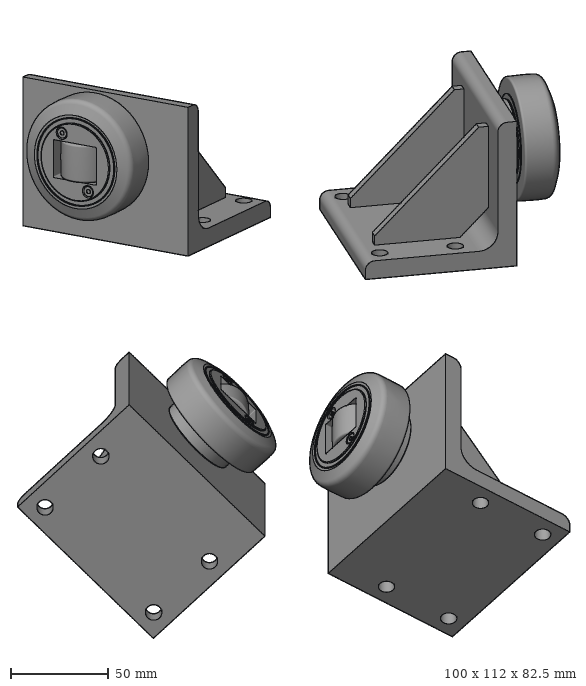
import cadquery as cq

overall_depth = 112.0

bracket_length = 100.0
leg = 80.0
leg_thickness = 10.0
root_radius = 10.0
toe_radius = 5.0

hole_diameter = 8.4
hole_half_spacing = 40.0
hole_rows = (30.0, 70.0)

rib_thickness = 5.0
rib_center_offset = 26.5
rib_reach = 70.0
rib_top_depth = 15.0
rib_root_clearance = 25.0

axis_height = 50.0
stem_diameter = 42.0
stem_end = 8.0
stem_chamfer = 0.5
back_seal_start = 8.5
seal_diameter = 47
tyre_back = 9.0
tyre_edge_radius = 32.3
tyre_crown_radius = 32.5
crown_start = 10.1
crown_end = 24.0
shoulder_radius = 30.2
shoulder_distance = 26.8
face_radius = 25.0
face_distance = 28.9
seal_groove_width = 0.5
seal_groove_depth = 0.5
cap_diameter = 41.5
cap_face = 29.7
cap_chamfer = 0.5

window_width = 26.0
window_height = 20.4
window_corner_radius = 0.6
side_roller_crown_radius = 12.9
side_roller_end_radius = 12.7
side_roller_width = 20.0
side_roller_fillet = 1.0
side_roller_distance = overall_depth - leg - side_roller_crown_radius

screw_x = 8.0
screw_z = 14.5
screw_rim_diameter = 6.6
screw_recess_diameter = 5.4
screw_recess_depth = 0.3
socket_diameter = 2.2
socket_depth = 0.3


def front_plane(distance):
    """Plane facing -Y, centered on the roller axis, at a distance outward from the mounting face."""
    return cq.Workplane("XZ", origin=(0, -distance, axis_height))


def make_angle():
    inner_toe = leg - toe_radius
    angle = (
        cq.Workplane("YZ")
        .lineTo(leg, 0)
        .lineTo(leg, leg_thickness - toe_radius)
        .radiusArc((inner_toe, leg_thickness), -toe_radius)
        .lineTo(leg_thickness + root_radius, leg_thickness)
        .radiusArc((leg_thickness, leg_thickness + root_radius), root_radius)
        .lineTo(leg_thickness, inner_toe)
        .radiusArc((leg_thickness - toe_radius, leg), -toe_radius)
        .lineTo(0, leg)
        .close()
        .extrude(bracket_length / 2, both=True)
    )
    hole_points = [(x, y) for x in (-hole_half_spacing, hole_half_spacing) for y in hole_rows]
    holes = cq.Workplane("XY").pushPoints(hole_points).circle(hole_diameter / 2).extrude(leg_thickness)
    return angle.cut(holes)


def make_rib(center_x):
    """Triangular gusset with blunt tips and a 45 degree cut that clears the bracket root."""
    return (
        cq.Workplane("YZ", origin=(center_x, 0, 0))
        .moveTo(leg_thickness, rib_root_clearance)
        .lineTo(leg_thickness, rib_reach)
        .lineTo(rib_top_depth, rib_reach)
        .lineTo(rib_reach, rib_top_depth)
        .lineTo(rib_reach, leg_thickness)
        .lineTo(rib_root_clearance, leg_thickness)
        .close()
        .extrude(rib_thickness / 2, both=True)
    )


def make_turned_body():
    """Stem, tyre and cap as one half profile: X is the radius, negative Y the distance outward."""
    stem_radius = stem_diameter / 2
    neck_radius = stem_radius - stem_chamfer
    seal_radius = seal_diameter / 2
    groove_inner_radius = seal_radius - seal_groove_width
    groove_floor = face_distance - seal_groove_depth
    cap_radius = cap_diameter / 2
    crown_middle = (crown_start + crown_end) / 2
    back_fillet = crown_start - tyre_back
    profile = (
        cq.Workplane("XY")
        .lineTo(neck_radius, 0)
        .lineTo(stem_radius, -stem_chamfer)
        .lineTo(stem_radius, -(stem_end - stem_chamfer))
        .lineTo(neck_radius, -stem_end)
        .lineTo(neck_radius, -back_seal_start)
        .lineTo(seal_radius, -back_seal_start)
        .lineTo(seal_radius, -tyre_back)
        .lineTo(tyre_edge_radius - back_fillet, -tyre_back)
        .radiusArc((tyre_edge_radius, -crown_start), back_fillet)
        .threePointArc((tyre_crown_radius, -crown_middle), (tyre_edge_radius, -crown_end))
        .tangentArcPoint((shoulder_radius, -shoulder_distance), relative=False)
        .lineTo(face_radius, -face_distance)
        .lineTo(seal_radius, -face_distance)
        .lineTo(seal_radius, -groove_floor)
        .lineTo(groove_inner_radius, -groove_floor)
        .lineTo(groove_inner_radius, -face_distance)
        .lineTo(cap_radius, -face_distance)
        .lineTo(cap_radius, -(cap_face - cap_chamfer))
        .lineTo(cap_radius - cap_chamfer, -cap_face)
        .lineTo(0, -cap_face)
        .close()
    )
    body = profile.revolve(360, (0, 0, 0), (0, 1, 0))
    return body.translate((0, 0, axis_height))


def make_window():
    """Pocket whose floor lies at the axis of the side roller."""
    depth = cap_face - side_roller_distance
    block = front_plane(side_roller_distance).rect(window_width, window_height).extrude(depth)
    return block.edges("|Y").fillet(window_corner_radius)


def make_side_roller():
    """Slightly crowned roller turning about an axis along Z."""
    half_width = side_roller_width / 2
    return (
        cq.Workplane("XZ", origin=(0, -side_roller_distance, axis_height))
        .moveTo(0, -half_width)
        .lineTo(side_roller_end_radius, -half_width)
        .threePointArc((side_roller_crown_radius, 0), (side_roller_end_radius, half_width))
        .lineTo(0, half_width)
        .close()
        .revolve(360, (0, 0, 0), (0, 1, 0))
        .edges("%CIRCLE and (>Z or <Z)")
        .fillet(side_roller_fillet)
    )


def make_screw_recesses():
    """Tapered recess with a small socket in its floor, at two opposite points of the cap."""
    points = [(-screw_x, screw_z), (screw_x, -screw_z)]
    recess_floor = cap_face - screw_recess_depth
    recesses = (
        front_plane(recess_floor - socket_depth)
        .pushPoints(points)
        .circle(socket_diameter / 2)
        .extrude(socket_depth)
    )
    for x, z in points:
        taper = (
            front_plane(recess_floor)
            .center(x, z)
            .circle(screw_recess_diameter / 2)
            .workplane(offset=screw_recess_depth)
            .circle(screw_rim_diameter / 2)
            .loft()
        )
        recesses = recesses.union(taper)
    return recesses


bracket = make_angle()
for rib_x in (-rib_center_offset, rib_center_offset):
    bracket = bracket.union(make_rib(rib_x))

roller = make_turned_body().cut(make_window()).cut(make_screw_recesses()).union(make_side_roller())

result = bracket.union(roller)